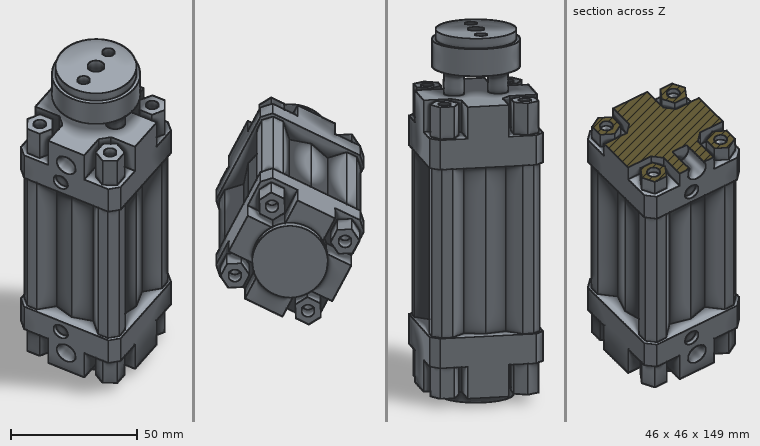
import cadquery as cq
import math

SPIGOT_HEIGHT = 4.0
CAP_HEIGHT = 25.0
TUBE_LENGTH = 69.0
TUBE_BOTTOM = SPIGOT_HEIGHT + CAP_HEIGHT
TUBE_TOP = TUBE_BOTTOM + TUBE_LENGTH
HOUSING_TOP = TUBE_TOP + CAP_HEIGHT
PLATE_BOTTOM = 134.0
PLATE_SHOULDER = 145.0
PLATE_TOP = 149.0

CAP_WIDTH = 46.0
CAP_CHAMFER = 3.6
SPIGOT_DIAMETER = 30.0
POCKET_DEPTH = 13.0
POCKET_FLOOR = CAP_HEIGHT - POCKET_DEPTH
CROSS_ARM_WIDTH = 16.7

NUT_OFFSET = 16.2
NUT_ACROSS_FLATS = 10.0
NUT_HOLE_DIAMETER = 5.0
NUT_HOLE_DEPTH = 9.0
DRILL_TIP_ANGLE = 118

PORT_DIAMETER = 8.6
PORT_HEIGHT = 15.8
PORT_DEPTH = 11.9
SCREW_DIAMETER = 6.5
SCREW_HEIGHT = 5.5
SCREW_X = -2.5
SCREW_DEPTH = 2.0

TUBE_HALF_WIDTH = 21.9
TUBE_CHAMFER = 3.3
GROOVE_HALF_WIDTH = 14.2
GROOVE_FLOOR_HALF_WIDTH = 8.5
GROOVE_DEPTH = GROOVE_HALF_WIDTH - GROOVE_FLOOR_HALF_WIDTH
GROOVE_RIDGE_DEPTH = 3.3

ROD_DIAMETER = 8.0
ROD_OFFSET = 9.0
PLATE_DIAMETER = 35.0
PLATE_STEP_DIAMETER = 32.0
PLATE_CENTER_HOLE_DIAMETER = 6.7
PLATE_SIDE_HOLE_DIAMETER = 4.9
PLATE_SIDE_HOLE_OFFSET = 9.5


def cylinder(diameter, bottom, top, x=0, y=0):
    """Upright cylinder between two heights."""
    return cq.Workplane("XY", origin=(x, y, bottom)).circle(diameter / 2).extrude(top - bottom)


def front_hole(diameter, x, z, depth):
    """Cutter for a blind hole going in from the -Y face of a cap."""
    face = cq.Workplane("XZ", origin=(x, -CAP_WIDTH / 2, z))
    return face.circle(diameter / 2).extrude(-depth)


def corner_pocket(x_side, y_side):
    """Cutter for the open corner around one nut, with its inner corner bevelled."""
    outer = CAP_WIDTH
    inner = CROSS_ARM_WIDTH / 2
    bevel = inner + CAP_CHAMFER
    corners = [(outer, outer), (inner, outer), (inner, bevel), (bevel, inner), (outer, inner)]
    outline = [(x_side * x, y_side * y) for x, y in corners]
    floor = cq.Workplane("XY", origin=(0, 0, POCKET_FLOOR))
    return floor.polyline(outline).close().extrude(POCKET_DEPTH)


def nut(x_side, y_side):
    """Hexagonal nut standing on a pocket floor, drilled from its outer end."""
    center = (x_side * NUT_OFFSET, y_side * NUT_OFFSET, POCKET_FLOOR)
    across_corners = NUT_ACROSS_FLATS / math.cos(math.radians(30))
    turn = 0 if x_side == y_side else 90
    body = cq.Workplane("XY").polygon(6, across_corners).extrude(POCKET_DEPTH)
    return body.rotate((0, 0, 0), (0, 0, 1), turn).translate(center)


def nut_hole(x_side, y_side):
    """Cutter for the blind hole in a nut, ending in a conical drill tip."""
    radius = NUT_HOLE_DIAMETER / 2
    tip_depth = NUT_HOLE_DEPTH + radius / math.tan(math.radians(DRILL_TIP_ANGLE / 2))
    half_section = [(0, 0), (radius, 0), (radius, -NUT_HOLE_DEPTH), (0, -tip_depth)]
    cutter = cq.Workplane("XZ").polyline(half_section).close().revolve(360, (0, 0), (0, 1))
    return cutter.translate((x_side * NUT_OFFSET, y_side * NUT_OFFSET, CAP_HEIGHT))


def make_cap():
    """End cap with its inner face at Z = 0 and its nuts pointing up."""
    cap = cq.Workplane("XY").rect(CAP_WIDTH, CAP_WIDTH).extrude(CAP_HEIGHT)
    cap = cap.edges("|Z").chamfer(CAP_CHAMFER)
    for x_side in (-1, 1):
        for y_side in (-1, 1):
            cap = cap.cut(corner_pocket(x_side, y_side))
            cap = cap.union(nut(x_side, y_side))
            cap = cap.cut(nut_hole(x_side, y_side))
    cap = cap.cut(front_hole(PORT_DIAMETER, 0, PORT_HEIGHT, PORT_DEPTH))
    return cap.cut(front_hole(SCREW_DIAMETER, SCREW_X, SCREW_HEIGHT, SCREW_DEPTH))


def make_tube():
    """Square tube with bevelled corners and a ridged groove along each side."""
    width = 2 * TUBE_HALF_WIDTH
    tube = cq.Workplane("XY", origin=(0, 0, TUBE_BOTTOM)).rect(width, width).extrude(TUBE_LENGTH)
    tube = tube.edges("|Z").chamfer(TUBE_CHAMFER)
    groove_outline = [
        (-GROOVE_HALF_WIDTH, -TUBE_HALF_WIDTH),
        (-GROOVE_FLOOR_HALF_WIDTH, -TUBE_HALF_WIDTH + GROOVE_DEPTH),
        (0, -TUBE_HALF_WIDTH + GROOVE_RIDGE_DEPTH),
        (GROOVE_FLOOR_HALF_WIDTH, -TUBE_HALF_WIDTH + GROOVE_DEPTH),
        (GROOVE_HALF_WIDTH, -TUBE_HALF_WIDTH),
    ]
    groove_plane = cq.Workplane("XY", origin=(0, 0, TUBE_BOTTOM))
    groove = groove_plane.polyline(groove_outline).close().extrude(TUBE_LENGTH)
    for angle in (0, 90, 180, 270):
        tube = tube.cut(groove.rotate((0, 0, 0), (0, 0, 1), angle))
    return tube


def make_housing():
    """Tube between two mirrored end caps, with a round spigot below."""
    cap = make_cap()
    upper_cap = cap.translate((0, 0, TUBE_TOP))
    lower_cap = cap.mirror("XY").translate((0, 0, TUBE_BOTTOM))
    spigot = cylinder(SPIGOT_DIAMETER, 0, SPIGOT_HEIGHT)
    return make_tube().union(upper_cap).union(lower_cap).union(spigot)


def make_plunger():
    """Stepped round plate on two piston rods that end on the housing's top face."""
    plunger = cylinder(PLATE_DIAMETER, PLATE_BOTTOM, PLATE_SHOULDER)
    plunger = plunger.union(cylinder(PLATE_STEP_DIAMETER, PLATE_SHOULDER, PLATE_TOP))
    plunger = plunger.cut(cylinder(PLATE_CENTER_HOLE_DIAMETER, PLATE_BOTTOM, PLATE_TOP))
    for side in (-1, 1):
        hole_y = side * PLATE_SIDE_HOLE_OFFSET
        plunger = plunger.cut(cylinder(PLATE_SIDE_HOLE_DIAMETER, PLATE_BOTTOM, PLATE_TOP, y=hole_y))
        plunger = plunger.union(cylinder(ROD_DIAMETER, HOUSING_TOP, PLATE_BOTTOM, x=side * ROD_OFFSET))
    return plunger


housing = make_housing()
plunger = make_plunger()
result = cq.Compound.makeCompound([housing.solids().val(), plunger.solids().val()])